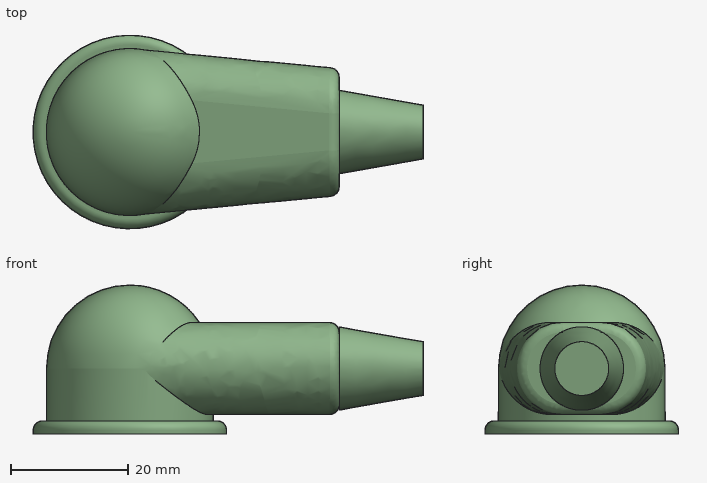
import cadquery as cq

flange_radius = 16.5
flange_height = 2.25
flange_round = 1.6
dome_radius = 14.2
axis_height = 11.2

neck_end = 35.7
neck_corner_radius = 7.85
neck_root_width = 2 * dome_radius
neck_end_width = 21.7
neck_round = 1.7

outlet_end = 66.5 - flange_radius
outlet_root_radius = 7.1
outlet_tip_radius = 4.6


def make_cap():
    """Flange, cylindrical wall and hemispherical dome."""
    flange = cq.Workplane("XY").circle(flange_radius).extrude(flange_height)
    flange = flange.faces(">Z").edges().fillet(flange_round)
    wall = cq.Workplane("XY").circle(dome_radius).extrude(axis_height)
    dome = (
        cq.Workplane("XZ", origin=(0, 0, axis_height))
        .lineTo(dome_radius, 0)
        .radiusArc((0, dome_radius), -dome_radius)
        .close()
        .revolve(360, (0, 0), (0, 1))
    )
    return flange.union(wall).union(dome)


def make_neck():
    """Loft between two slot sections of equal height, rounded at the outer end."""
    height = 2 * neck_corner_radius
    neck = (
        cq.Workplane("YZ", origin=(0, 0, axis_height))
        .slot2D(neck_root_width, height)
        .workplane(offset=neck_end)
        .slot2D(neck_end_width, height)
        .loft(ruled=True)
    )
    return neck.faces(">X").edges().fillet(neck_round)


def make_outlet():
    """Solid cone frustum starting on the neck's end face."""
    return (
        cq.Workplane("YZ", origin=(neck_end, 0, axis_height))
        .circle(outlet_root_radius)
        .workplane(offset=outlet_end - neck_end)
        .circle(outlet_tip_radius)
        .loft()
    )


result = make_cap().union(make_neck()).union(make_outlet())